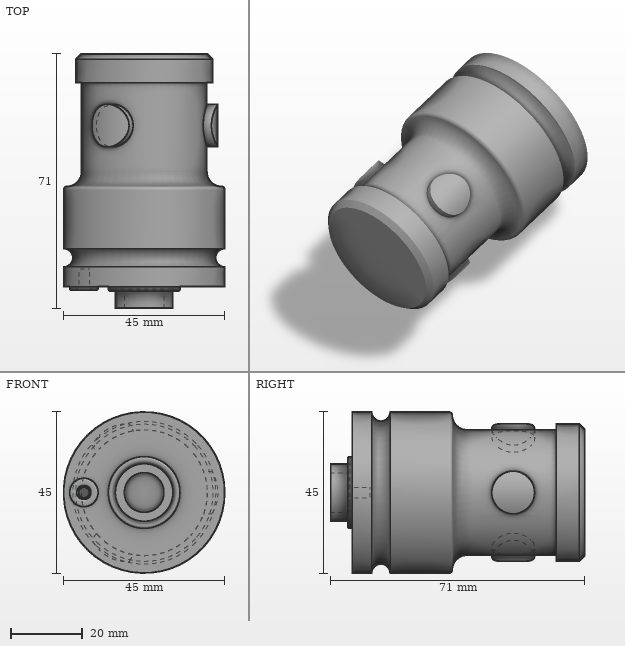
import cadquery as cq
import math

flange_radius = 22.5
overall_length = 71
body_length = 65.0
groove_center = 8.0
groove_radius = 2.55
shoulder_position = 28.0
shoulder_round = 1.0
neck_radius = 17.55
neck_fillet = flange_radius - neck_radius - shoulder_round
head_radius = 19.2
head_length = 8.0
head_chamfer = 1.55

spigot_radius = 8.0
spigot_length = overall_length - body_length
spigot_bore_radius = 5.55
spigot_bore_depth = 5.0
collar_radius = 10.0
collar_height = 1.3
collar_round = 0.675

port_offset = 16.8
port_radius = 4.0
port_height = 1.1
port_round = 0.675
port_bore_radius = 1.95
port_hole_radius = 1.5
port_hole_depth = 5.0

pin_count = 3
pin_radius = 5.95
pin_position = 44.95
pin_reach = 20.5
pin_crown_radius = 11.0


def make_body():
    """Turned body with a round groove, a blended shoulder and a chamfered head."""
    head_start = body_length - head_length
    diagonal = math.sqrt(0.5)
    round_center = (flange_radius - shoulder_round, shoulder_position - shoulder_round)
    fillet_center = (neck_radius + neck_fillet, shoulder_position + neck_fillet)
    outline = (
        cq.Workplane("XY")
        .lineTo(flange_radius, 0)
        .lineTo(flange_radius, groove_center - groove_radius)
        .threePointArc(
            (flange_radius - groove_radius, groove_center),
            (flange_radius, groove_center + groove_radius),
        )
        .lineTo(flange_radius, round_center[1])
        .threePointArc(
            (round_center[0] + shoulder_round * diagonal, round_center[1] + shoulder_round * diagonal),
            (round_center[0], shoulder_position),
        )
        .threePointArc(
            (fillet_center[0] - neck_fillet * diagonal, fillet_center[1] - neck_fillet * diagonal),
            (neck_radius, fillet_center[1]),
        )
        .lineTo(neck_radius, head_start)
        .lineTo(head_radius, head_start)
        .lineTo(head_radius, body_length - head_chamfer)
        .lineTo(head_radius - head_chamfer, body_length)
        .lineTo(0, body_length)
        .close()
    )
    return outline.revolve(360, (0, 0, 0), (0, 1, 0))


def make_rounded_ring(outer_radius, inner_radius, height, edge_round):
    """Ring standing on the flange face, with both free edges rounded."""
    return (
        cq.Workplane("XZ")
        .circle(outer_radius)
        .circle(inner_radius)
        .extrude(height)
        .faces("<Y")
        .edges()
        .fillet(edge_round)
    )


def make_pin(angle):
    """Radial pin, built along +X with its crown axis along Y, then turned to its angle."""
    shank = cq.Workplane("YZ").center(pin_position, 0).circle(pin_radius).extrude(pin_reach)
    crown = (
        cq.Workplane("XZ")
        .center(pin_reach - pin_crown_radius, 0)
        .circle(pin_crown_radius)
        .extrude(-body_length)
    )
    return shank.intersect(crown).rotate((0, 0, 0), (0, 1, 0), angle)


result = make_body()

for index in range(pin_count):
    result = result.union(make_pin(index * 360 / pin_count))

spigot = cq.Workplane("XZ").circle(spigot_radius).extrude(spigot_length)
spigot = spigot.faces("<Y").workplane().circle(spigot_bore_radius).cutBlind(-spigot_bore_depth)
collar = make_rounded_ring(collar_radius, spigot_radius, collar_height, collar_round)
result = result.union(spigot).union(collar)

port_ring = make_rounded_ring(port_radius, port_bore_radius, port_height, port_round)
port_hole = cq.Workplane("XZ").circle(port_hole_radius).extrude(-port_hole_depth)
result = result.union(port_ring.translate((-port_offset, 0, 0)))
result = result.cut(port_hole.translate((-port_offset, 0, 0)))